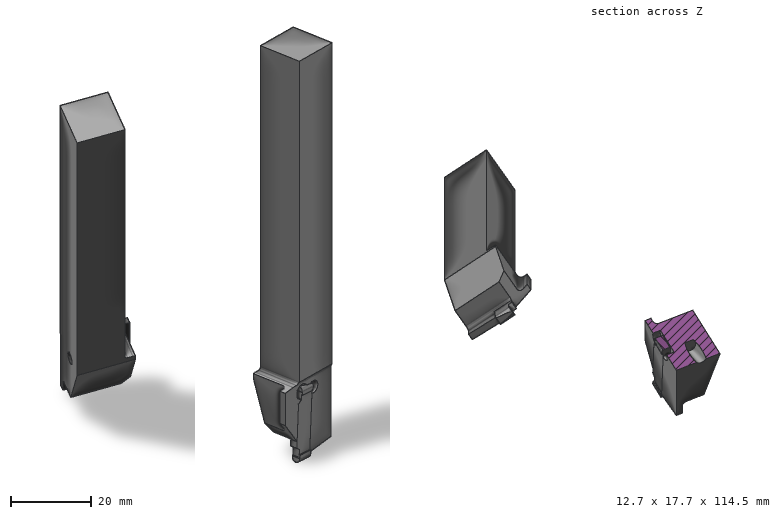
import cadquery as cq
import math

length = 114.5
shank_side = 12.7
head_top_z = 22.4
side_step = 0.3
blade_thickness = 1.7
blade_side_x = side_step + blade_thickness
blade_back_y = 17.7
blade_back_top_z = 22.0
blade_back_low_z = 12.8
head_back_y = 15.5
head_flat_end_y = 14.8
head_low_z = 6.5
head_low_x = 8.0
taper_top_z = 21.0
blade_front_low_z = 2.4
blade_seat_low = (9.2, 1.3)
jaw_low = (11.5, 3.9)
root_radius = 0.7
blade_root_radius = 1.1
step_radius = 0.9

hole_x = 7.3
hole_z = 21.5
hole_diameter = 3.2
hole_slope = 18.0
hole_depth = 6.9

insert_length = 21.3
insert_width = 2.4
insert_tilt = 3.0
tip_y = 12.7
head_length = 2.3
rake_length = 1.4
rake_drop = 0.06
groove_depth = 0.2
groove_start = 1.6
groove_end = 3.8
back_start = 4.5
back_height = 0.8
front_depth = 4.4
end_clearance = 0.5

tip_clearance = (11.2, 19.8, 2.1)
heel_clearance = (6.9, 19.4, 1.7)


def tilt_insert(shape):
    """Lean an upright insert shape about its lower tip and move it into the seat."""
    leaned = shape.rotate((0, 0, 0), (1, 0, 0), insert_tilt)
    return leaned.translate((0, tip_y, 0))


def make_insert_profile():
    """Upright full-width insert with its lower tip at Y = Z = 0, the same at both ends."""
    lower_half = [
        (-front_depth, end_clearance),
        (0, 0),
        (-rake_drop, rake_length),
        (-groove_depth, groove_start),
        (-groove_depth, groove_end),
        (back_height, back_start),
    ]
    upper_half = [(y, insert_length - z) for y, z in reversed(lower_half)]
    return cq.Workplane("YZ").polyline(lower_half + upper_half).close().extrude(insert_width)


def make_side_prism():
    """Shank, head and blade outline seen along X."""
    return (
        cq.Workplane("YZ")
        .moveTo(0, blade_front_low_z)
        .lineTo(*blade_seat_low)
        .lineTo(*jaw_low)
        .lineTo(blade_back_y, blade_back_low_z)
        .lineTo(blade_back_y, blade_back_top_z)
        .lineTo(head_flat_end_y, head_top_z)
        .lineTo(shank_side + root_radius, head_top_z)
        .radiusArc((shank_side, head_top_z + root_radius), root_radius)
        .lineTo(shank_side, length)
        .lineTo(0, length)
        .close()
        .extrude(shank_side)
    )


def make_front_prism():
    """Shank, tapered head and thin blade outline seen along Y."""
    step_rise = math.sqrt(step_radius**2 - (step_radius - side_step) ** 2)
    return (
        cq.Workplane("XZ")
        .moveTo(side_step, 0)
        .lineTo(blade_side_x, 0)
        .lineTo(blade_side_x, head_low_z - blade_root_radius)
        .radiusArc((blade_side_x + blade_root_radius, head_low_z), blade_root_radius)
        .lineTo(head_low_x, head_low_z)
        .lineTo(shank_side, taper_top_z)
        .lineTo(shank_side, length)
        .lineTo(0, length)
        .lineTo(0, head_top_z + step_rise)
        .radiusArc((side_step, head_top_z), step_radius)
        .close()
        .extrude(-blade_back_y)
    )


def make_top_prism():
    """Head and blade outline seen along Z, the blade standing out behind the head."""
    return (
        cq.Workplane("XY")
        .lineTo(shank_side, 0)
        .lineTo(shank_side, head_back_y)
        .lineTo(blade_side_x + blade_root_radius, head_back_y)
        .radiusArc((blade_side_x, head_back_y + blade_root_radius), blade_root_radius)
        .lineTo(blade_side_x, blade_back_y)
        .lineTo(0, blade_back_y)
        .close()
        .extrude(length)
    )


def make_clearance(y, z, radius):
    """Round recess as deep as the insert seat."""
    return cq.Workplane("YZ").center(y, z).circle(radius).extrude(insert_width)


def make_coolant_hole():
    """Sloping flat-bottomed cylinder, started outside the front face to open it fully."""
    slope = math.radians(hole_slope)
    direction = cq.Vector(0, math.cos(slope), -math.sin(slope))
    mouth = cq.Vector(hole_x, 0, hole_z)
    start = mouth - direction * hole_diameter
    return cq.Workplane(
        cq.Solid.makeCylinder(hole_diameter / 2, hole_depth + hole_diameter, start, direction)
    )


def make_holder():
    """Three crossed outlines give the outer shape, then the seat and holes are cut."""
    body = make_side_prism().intersect(make_front_prism()).intersect(make_top_prism())
    body = body.cut(tilt_insert(make_insert_profile()))
    for clearance in (tip_clearance, heel_clearance):
        body = body.cut(make_clearance(*clearance))
    return body.cut(make_coolant_hole())


def make_insert():
    """Body flush with the blade face; full-width ends with round noses."""
    depth = front_depth + back_height
    round_ends = (
        cq.Workplane("XZ", origin=(0, -front_depth, 0))
        .center(insert_width / 2, insert_length / 2)
        .slot2D(insert_length, insert_width, 90)
        .extrude(-depth)
    )
    waist = (
        cq.Workplane("XY", origin=(0, -front_depth, head_length))
        .rect(side_step, depth, centered=False)
        .extrude(insert_length - 2 * head_length)
    )
    blank = make_insert_profile().intersect(round_ends).cut(waist)
    return tilt_insert(blank)


holder = make_holder()
insert = make_insert()

result = cq.Compound.makeCompound([holder.solids().val(), insert.solids().val()])